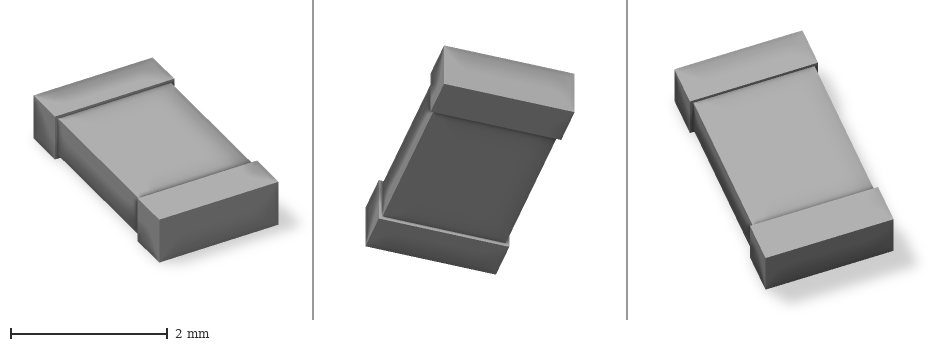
import cadquery as cq

LENGTH = 3.25
WIDTH = 1.75
HEIGHT = 0.66

TERMINAL_LENGTH = 0.555
TERMINAL_STEP = 0.05

BODY_LENGTH = LENGTH - 2 * TERMINAL_LENGTH
BODY_WIDTH = WIDTH - 2 * TERMINAL_STEP
BODY_HEIGHT = HEIGHT - 2 * TERMINAL_STEP


def make_chip_body():
    """Plain block centred on the origin."""
    return cq.Workplane("XY").box(BODY_LENGTH, BODY_WIDTH, BODY_HEIGHT)


def make_terminal(side):
    """End block seated against the chip body; side is -1 or +1 along X."""
    center_x = side * (LENGTH - TERMINAL_LENGTH) / 2
    return cq.Workplane("XY").box(TERMINAL_LENGTH, WIDTH, HEIGHT).translate((center_x, 0, 0))


chip_body = make_chip_body()
terminals = [make_terminal(side) for side in (-1, 1)]

result = cq.Compound.makeCompound([chip_body.val(), *(terminal.val() for terminal in terminals)])